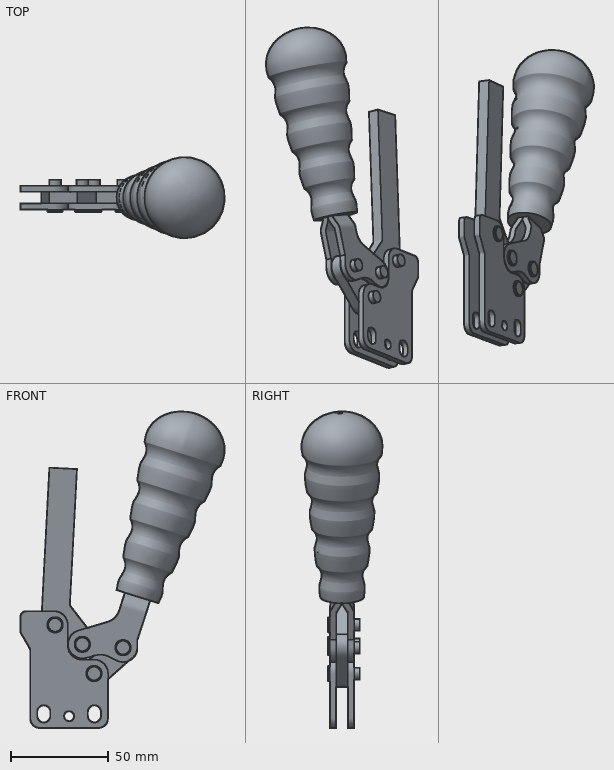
import cadquery as cq
import math


gap = 6.0
plate_thickness = 3.2
inner_y = gap / 2
outer_y = inner_y + plate_thickness

arm_pivot = (12.8, 53.0)
lever_pivot = (26.8, 43.0)
link_pivot = (47.7, 41.3)
base_pivot = (32.8, 28.0)

base_width = 40.0
base_height = 60.0
nose_reach = 5.05
nose_bottom = 49.2
nose_root = 40.5
nose_fillet = 3.0
nose_bend_fillet = 2.6
shoulder_fillet = 7.0
foot_fillet = 5.0
seat_radius = 7.5
base_pivot_margin = 7.2
slot_width = 6.6
slot_length = 8.7
slot_height = 7.3
slot_spacing = 26.0
centre_hole_diameter = 5.0
centre_hole_height = 6.1

arm_end_radius = 7.2
arm_length = 80.5
arm_width = 14.3
arm_tilt = 3.0
arm_elbow_height = 63.0
arm_elbow_fillet = 2.0

link_end_radius = 7.0

lever_tilt = 17.5
grip_origin = (57.7, 75.69)
lever_eye_radius = 7.35
lever_link_radius = 7.4
lever_top_angle = 16.8
lever_web_fillet = 8.8
neck_width = 13.7
lever_kink_height = 45.3
relief_start_angle = 285
relief_end_angle = 245
relief_start = (30.9, 36.4)
relief_peak = (35.1, 37.6)
relief_end = (39.3, 37.2)

bend_start = -15.9
bend_angle = 30
bend_outer_radius = 5.2
bend_inner_radius = bend_outer_radius - plate_thickness
tang_top = -6.0

grip_bottom = -8.6
grip_bottom_radius = 11.3
rib_count = 4
rib_pitch = 19.9
rib_step = 2.5
first_rib_radius = 11.7
first_rib_crest = -2.6
crest_to_neck = 4.5
crest_to_next_edge = 11.1
neck_depth = 1.1
edge_depth = 1.05
rib_bulge = 0.25
flare_rise = 0.35
ball_radius = 20.92
ball_centre = 72.0
ball_height = 18.0
ring_blend = 0.5

rivet_shank_diameter = 6.2
rivet_tail = 3.0
rivet_head_diameter = 8.0
rivet_head_height = 1.2
rivet_head_chamfer = 0.5

pick_margin = 0.05

tilt_sin = math.sin(math.radians(lever_tilt))
tilt_cos = math.cos(math.radians(lever_tilt))


def polar(centre, radius, angle):
    """Point on a circle, with the angle in degrees from +X toward +Z."""
    a = math.radians(angle)
    return (centre[0] + radius * math.cos(a), centre[1] + radius * math.sin(a))


def lever_point(across, along):
    """(X, Z) of a point given across and along the lever axis."""
    x = grip_origin[0] + across * tilt_cos + along * tilt_sin
    z = grip_origin[1] - across * tilt_sin + along * tilt_cos
    return (x, z)


def across_lever(point):
    """Signed distance of an (X, Z) point from the lever axis."""
    return (point[0] - grip_origin[0]) * tilt_cos - (point[1] - grip_origin[1]) * tilt_sin


def slab(wire, y_min, y_max):
    """Extrude a closed wire on the XZ plane between two Y positions."""
    return wire.extrude(y_max - y_min).translate((0, y_max, 0))


def plate_pair(make_wire):
    """The same outline as a front and a rear plate."""
    front = slab(make_wire(), -outer_y, -inner_y)
    return front.union(slab(make_wire(), inner_y, outer_y))


def round_corner(body, corner, radius):
    """Fillet the Y-parallel edges at an (X, Z) corner."""
    x, z = corner
    box = cq.selectors.BoxSelector(
        (x - pick_margin, -outer_y, z - pick_margin), (x + pick_margin, outer_y, z + pick_margin)
    )
    return body.edges("|Y").edges(box).fillet(radius)


def base_plates():
    step_x = lever_pivot[0] - seat_radius
    step_z = base_pivot[1] + base_pivot_margin
    corners = [
        ((0, 0), foot_fillet),
        ((base_width, 0), foot_fillet),
        ((base_width, step_z), base_pivot_margin),
        ((step_x, step_z), seat_radius),
        ((step_x, base_height), shoulder_fillet),
        ((-nose_reach, base_height), nose_fillet),
        ((-nose_reach, nose_bottom), nose_bend_fillet),
        ((0, nose_root), nose_bend_fillet),
    ]
    outline = [point for point, _ in corners]
    plates = plate_pair(lambda: cq.Workplane("XZ").polyline(outline).close())
    for point, radius in corners:
        plates = round_corner(plates, point, radius)
    middle = base_width / 2
    slots = (
        cq.Workplane("XZ")
        .pushPoints([(middle + side * slot_spacing / 2, slot_height) for side in (-1, 1)])
        .slot2D(slot_length, slot_width, 90)
        .extrude(outer_y, both=True)
    )
    centre_hole = (
        cq.Workplane("XZ")
        .center(middle, centre_hole_height)
        .circle(centre_hole_diameter / 2)
        .extrude(outer_y, both=True)
    )
    return plates.cut(slots).cut(centre_hole)


def strap(start, end, radius):
    """Bar with round ends about two pivots, filling the gap between the plates."""
    angle = math.degrees(math.atan2(end[1] - start[1], end[0] - start[0]))
    wire = (
        cq.Workplane("XZ")
        .moveTo(*polar(start, radius, angle + 90))
        .threePointArc(polar(start, radius, angle + 180), polar(start, radius, angle - 90))
        .lineTo(*polar(end, radius, angle - 90))
        .threePointArc(polar(end, radius, angle), polar(end, radius, angle + 90))
        .close()
    )
    return slab(wire, -inner_y, inner_y)


def clamping_arm():
    up = 90 - arm_tilt
    left_base = polar(arm_pivot, arm_end_radius, up + 90)
    left_top = polar(left_base, arm_length, up)
    right_top = polar(left_top, arm_width, up - 90)
    elbow_drop = (right_top[1] - arm_elbow_height) / math.cos(math.radians(arm_tilt))
    elbow = polar(right_top, elbow_drop, up + 180)
    reach = math.dist(elbow, lever_pivot)
    bearing = math.degrees(math.atan2(elbow[1] - lever_pivot[1], elbow[0] - lever_pivot[0]))
    contact_angle = bearing - math.degrees(math.acos(arm_end_radius / reach))
    contact = polar(lever_pivot, arm_end_radius, contact_angle)
    outline = [left_base, left_top, right_top, elbow, contact, lever_pivot, arm_pivot]
    bar = slab(cq.Workplane("XZ").polyline(outline).close(), -inner_y, inner_y)
    bar = round_corner(bar, elbow, arm_elbow_fillet)
    return bar.union(strap(arm_pivot, lever_pivot, arm_end_radius))


def lever_plates():
    eye_top = polar(lever_pivot, lever_eye_radius, 90 + lever_top_angle)
    to_neck = -neck_width / 2 - across_lever(eye_top)
    run = to_neck / math.cos(math.radians(lever_top_angle + lever_tilt))
    web_corner = polar(eye_top, run, lever_top_angle)
    right_side = link_pivot[0] + lever_link_radius

    def wire():
        return (
            cq.Workplane("XZ")
            .moveTo(*eye_top)
            .lineTo(*web_corner)
            .lineTo(*lever_point(-neck_width / 2, bend_start))
            .lineTo(*lever_point(neck_width / 2, bend_start))
            .lineTo(right_side, lever_kink_height)
            .lineTo(right_side, link_pivot[1])
            .threePointArc(
                polar(link_pivot, lever_link_radius, (relief_end_angle + 360) / 2),
                polar(link_pivot, lever_link_radius, relief_end_angle),
            )
            .lineTo(*relief_end)
            .threePointArc(relief_peak, relief_start)
            .lineTo(*polar(lever_pivot, lever_eye_radius, relief_start_angle))
            .threePointArc(polar(lever_pivot, lever_eye_radius, 180), eye_top)
            .close()
        )

    return round_corner(plate_pair(wire), web_corner, lever_web_fillet)


def inward_bend(start_y, radius):
    """Middle and end (Y, height) of the bend that turns a plate face inward."""
    centre = (start_y - radius, bend_start)
    return polar(centre, radius, bend_angle / 2), polar(centre, radius, bend_angle)


def straightening_bend(end_y, radius, end_height):
    """Start and middle (Y, height) of the bend that turns a plate face back along the axis."""
    centre = (end_y + radius, end_height)
    return polar(centre, radius, 180 + bend_angle), polar(centre, radius, 180 + bend_angle / 2)


def lever_neck():
    plane = cq.Plane(
        origin=(grip_origin[0], 0, grip_origin[1]), xDir=(0, 1, 0), normal=(tilt_cos, 0, -tilt_sin)
    )
    angle = math.radians(bend_angle)
    bend_drop = (bend_outer_radius + bend_inner_radius) * (1 - math.cos(angle))
    bend_rise = (bend_outer_radius + bend_inner_radius) * math.sin(angle)
    sloped_rise = (inner_y - bend_drop) / math.tan(angle)
    bend_end = bend_start + bend_rise + sloped_rise
    outer_first = inward_bend(outer_y, bend_outer_radius)
    inner_first = inward_bend(inner_y, bend_inner_radius)
    outer_second = straightening_bend(plate_thickness, bend_inner_radius, bend_end)
    inner_second = straightening_bend(0, bend_outer_radius, bend_end)
    ply = (
        cq.Workplane(plane)
        .moveTo(outer_y, bend_start)
        .threePointArc(*outer_first)
        .lineTo(*outer_second[0])
        .threePointArc(outer_second[1], (plate_thickness, bend_end))
        .lineTo(plate_thickness, tang_top)
        .lineTo(0, tang_top)
        .lineTo(0, bend_end)
        .threePointArc(inner_second[1], inner_second[0])
        .lineTo(*inner_first[1])
        .threePointArc(inner_first[0], (inner_y, bend_start))
        .close()
        .extrude(neck_width / 2, both=True)
    )
    return ply.union(ply.mirror("XZ"))


def grip():
    plane = cq.Plane(
        origin=(grip_origin[0], 0, grip_origin[1]), xDir=(0, -1, 0), normal=(-tilt_cos, 0, tilt_sin)
    )
    ball_edge = first_rib_crest + (rib_count - 1) * rib_pitch + crest_to_next_edge
    ball_start = math.asin((ball_edge - ball_centre) / ball_height)
    ball_edge_radius = ball_radius * math.cos(ball_start)
    blended_radii = []
    profile = cq.Workplane(plane).moveTo(0, grip_bottom).lineTo(grip_bottom_radius, grip_bottom)
    edge_radius = grip_bottom_radius
    edge_height = grip_bottom
    for i in range(rib_count):
        crest_radius = first_rib_radius + i * rib_step
        crest = first_rib_crest + i * rib_pitch
        neck_radius = crest_radius - neck_depth
        neck = crest + crest_to_neck
        next_edge = crest + crest_to_next_edge
        if i < rib_count - 1:
            next_radius = crest_radius + rib_step - edge_depth
        else:
            next_radius = ball_edge_radius
        rib_middle = ((edge_radius + crest_radius) / 2 + rib_bulge, (edge_height + crest) / 2)
        flare_middle = (neck_radius + flare_rise, (neck + next_edge) / 2)
        profile = (
            profile.threePointArc(rib_middle, (crest_radius, crest))
            .lineTo(neck_radius, neck)
            .threePointArc(flare_middle, (next_radius, next_edge))
        )
        blended_radii += [crest_radius, next_radius]
        edge_radius = next_radius
        edge_height = next_edge
    profile = profile.ellipseArc(
        ball_radius, ball_height, math.degrees(ball_start), 90, startAtCurrent=True
    ).close()
    body = profile.revolve(360, (0, 0, 0), (0, 1, 0))
    rings = body.edges("%CIRCLE").filter(
        lambda ring: any(math.isclose(ring.radius(), radius, abs_tol=pick_margin) for radius in blended_radii)
    )
    return rings.fillet(ring_blend)


def rivet(pivot):
    tail_y = outer_y + rivet_tail
    shank = slab(
        cq.Workplane("XZ").center(*pivot).circle(rivet_shank_diameter / 2), -outer_y, tail_y
    )
    head = slab(
        cq.Workplane("XZ").center(*pivot).circle(rivet_head_diameter / 2),
        -outer_y - rivet_head_height,
        -outer_y,
    )
    return shank.union(head.faces("<Y").chamfer(rivet_head_chamfer))


result = base_plates().union(clamping_arm()).union(strap(base_pivot, link_pivot, link_end_radius))
result = result.union(lever_plates()).union(lever_neck()).union(grip())
for pivot in (arm_pivot, lever_pivot, link_pivot, base_pivot):
    result = result.union(rivet(pivot))